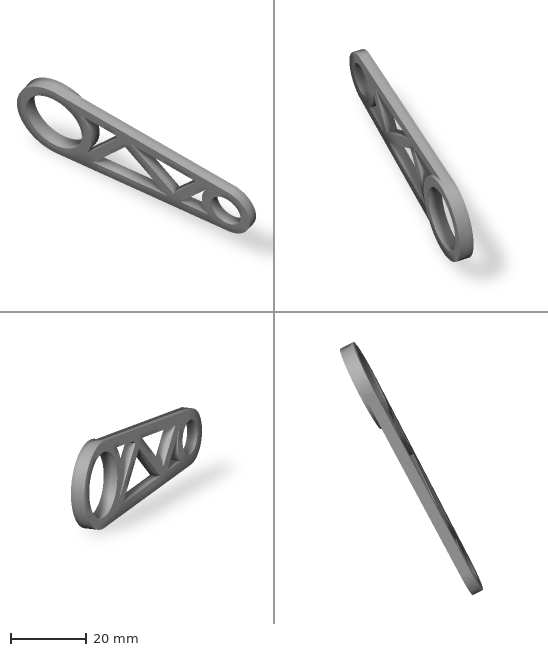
import cadquery as cq
import math

length = 75.3
wall = 3.0
plate_thickness = 3.0
ring_thickness = 4.0
big_bore = 18.0
small_bore = 9.5

brace_rise = 51.2
braces = [
    (17.25, brace_rise),
    (31.25, brace_rise - 90),
    (43.7, brace_rise),
]

big_radius = big_bore / 2 + wall
small_radius = small_bore / 2 + wall
small_x = length - big_radius - small_radius
taper = math.atan((big_radius - small_radius) / small_x)
rail_drop = wall / math.cos(taper)
brace_length = 2 * big_radius + 2 * wall


def disc(x, radius, thickness):
    """Round disc on the front plane, growing toward +Y."""
    return cq.Workplane("XZ").center(x, 0).circle(radius).extrude(-thickness)


def web(inset):
    """Tapered web between the two ring centres, narrowed along Z by inset."""
    big_half = big_radius - inset
    small_half = small_radius - inset
    return (
        cq.Workplane("XZ")
        .polyline([(0, -big_half), (small_x, -small_half), (small_x, small_half), (0, big_half)])
        .close()
        .extrude(-plate_thickness)
    )


def brace(x, angle):
    """Straight bar crossing the X axis at x."""
    return (
        cq.Workplane("XZ")
        .center(x, 0)
        .transformed(rotate=(0, 0, angle))
        .rect(brace_length, wall)
        .extrude(-plate_thickness)
    )


big_ring = disc(0, big_radius, ring_thickness)
small_ring = disc(small_x, small_radius, plate_thickness)

windows = web(rail_drop).cut(big_ring).cut(small_ring)
for crossing, slope in braces:
    windows = windows.cut(brace(crossing, slope))

arm = web(0).union(big_ring).union(small_ring).cut(windows)
arm = arm.cut(disc(0, big_bore / 2, ring_thickness))
result = arm.cut(disc(small_x, small_bore / 2, plate_thickness))